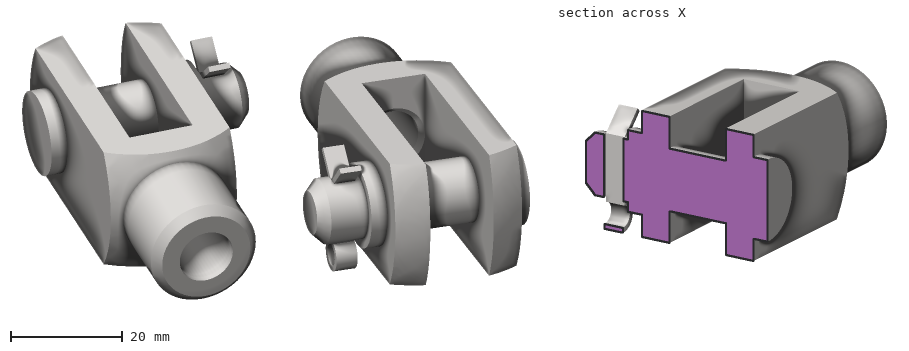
import cadquery as cq
import math

fork_size = 24.0
slot_width = 12.0
slot_end_x = 24.0
fork_tip_x = -14.0
shank_end_x = 48.0
shank_diameter = 20.0
shank_chamfer = 1.6
bore_diameter = 10.11
bore_mouth_diameter = 12.0
bore_mouth_angle = 45.0

end_arc_radius = 24.0
front_arc_offset = 2.0
rear_arc_x = 10.0
blank_radius = 18.0

pin_diameter = 12.0
pin_end_y = 24.0
pin_chamfer = 2.0
collar_diameter = 15.6
collar_thickness = 3.0

split_pin_y = 18.0
split_pin_width = 4.0
strip_thickness = 1.0
strip_gap = 0.6
leg_length = 6.0
leg_angle = 45.0
loop_radius = 3.0

half_fork = fork_size / 2
shank_radius = shank_diameter / 2
pin_radius = pin_diameter / 2
loop_z = -pin_radius - loop_radius


def arc_reach(height):
    """Axial distance from an end arc's centre to its point at a height above that centre."""
    return math.sqrt(end_arc_radius**2 - height**2)


def cylinder_along_y(diameter, start_y, end_y):
    plane = cq.Workplane("XZ", origin=(0, start_y, 0))
    return plane.circle(diameter / 2).extrude(start_y - end_y)


def make_turned_blank():
    tip_radius = slot_width / 2
    front_arc_x = fork_tip_x + arc_reach(tip_radius - front_arc_offset)

    def front_point(radius):
        return (front_arc_x - arc_reach(radius - front_arc_offset), radius)

    def rear_point(radius):
        return (rear_arc_x + arc_reach(radius), radius)

    profile = (
        cq.Workplane("XY")
        .moveTo(fork_tip_x, 0)
        .lineTo(fork_tip_x, tip_radius)
        .threePointArc(front_point((tip_radius + blank_radius) / 2), front_point(blank_radius))
        .lineTo(*rear_point(blank_radius))
        .threePointArc(rear_point((blank_radius + shank_radius) / 2), rear_point(shank_radius))
        .lineTo(shank_end_x - shank_chamfer, shank_radius)
        .lineTo(shank_end_x, shank_radius - shank_chamfer)
        .lineTo(shank_end_x, 0)
        .close()
    )
    return profile.revolve(360, (0, 0, 0), (1, 0, 0))


def make_square_bar():
    bar_length = 2 * shank_end_x
    return cq.Workplane("XY").box(bar_length, fork_size, fork_size)


def make_slot():
    return cq.Workplane("XY").box(2 * slot_end_x, slot_width, fork_size)


def make_bore():
    bore = cq.Workplane("YZ", origin=(slot_end_x, 0, 0)).circle(bore_diameter / 2)
    bore = bore.extrude(shank_end_x - slot_end_x)
    mouth_step = (bore_mouth_diameter - bore_diameter) / 2
    mouth_depth = mouth_step / math.tan(math.radians(bore_mouth_angle))
    mouth = cq.Workplane("YZ", origin=(slot_end_x, 0, 0)).circle(bore_mouth_diameter / 2)
    mouth = mouth.extrude(mouth_depth, taper=bore_mouth_angle)
    return bore.union(mouth)


def make_clevis_pin():
    collar_reach = half_fork + collar_thickness
    shaft = cylinder_along_y(pin_diameter, -collar_reach, pin_end_y)
    shaft = shaft.faces(">Y").chamfer(pin_chamfer)
    head = cylinder_along_y(collar_diameter, -collar_reach, -half_fork)
    collar = cylinder_along_y(collar_diameter, half_fork, collar_reach)
    return shaft.union(head).union(collar)


def split_pin_plane():
    return cq.Workplane("XZ", origin=(0, split_pin_y + split_pin_width / 2, 0))


def make_split_pin():
    loop = split_pin_plane().center(0, loop_z).circle(loop_radius)
    loop = loop.circle(loop_radius - strip_thickness)
    split_pin = loop.extrude(split_pin_width)

    strips_width = strip_gap + 2 * strip_thickness
    strips_height = pin_diameter + strip_thickness
    strips = split_pin_plane().center(0, -strip_thickness / 2).rect(strips_width, strips_height)
    split_pin = split_pin.union(strips.extrude(split_pin_width))

    run_x = math.sin(math.radians(leg_angle))
    run_z = math.cos(math.radians(leg_angle))
    inner_start = (strip_gap / 2, pin_radius)
    inner_end = (inner_start[0] + leg_length * run_x, inner_start[1] + leg_length * run_z)
    step_x = strip_thickness * run_z
    step_z = -strip_thickness * run_x
    outer_end = (inner_end[0] + step_x, inner_end[1] + step_z)
    outer_start = (inner_start[0] + step_x, inner_start[1] + step_z)
    leg_outline = split_pin_plane().polyline([inner_start, inner_end, outer_end, outer_start]).close()
    leg = leg_outline.extrude(split_pin_width)
    return split_pin.union(leg).union(leg.mirror("YZ"))


def make_strip_gap():
    gap_height = pin_radius - loop_z
    gap = split_pin_plane().center(0, (pin_radius + loop_z) / 2).rect(strip_gap, gap_height)
    return gap.extrude(split_pin_width)


fork = make_turned_blank().intersect(make_square_bar()).cut(make_slot()).cut(make_bore())
pinned_fork = fork.union(make_clevis_pin()).union(make_split_pin())
result = pinned_fork.cut(make_strip_gap())